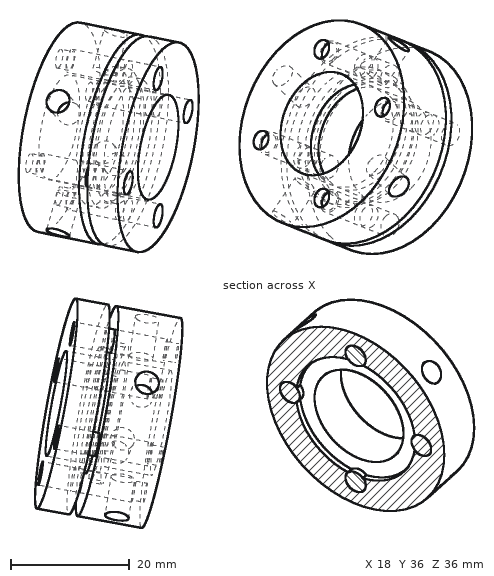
import cadquery as cq

OUTER_DIAMETER = 36.0
BORE_DIAMETER = 18.0
LENGTH = 18.0

THICK_FLANGE_LENGTH = 11.0
NECK_LENGTH = 1.48
NECK_DIAMETER = 21.45

GROOVE_START = 8.0
GROOVE_LENGTH = 2.0
GROOVE_DIAMETER = 23.98

PIN_COUNT = 4
PIN_DIAMETER = 4.0
PIN_CIRCLE_RADIUS = 13.25
PIN_START = 2.0
PIN_LENGTH = LENGTH - PIN_START
ACCESS_HOLE_DIAMETER = 3.25

RADIAL_HOLE_COUNT = PIN_COUNT
RADIAL_HOLE_DIAMETER = 4.0
RADIAL_HOLE_X = 5.0
RADIAL_HOLE_DEPTH = 7.0

FULL_TURN = 360.0
PIN_ANGLES = [i * FULL_TURN / PIN_COUNT for i in range(PIN_COUNT)]
RADIAL_HOLE_ANGLES = [(i + 0.5) * FULL_TURN / RADIAL_HOLE_COUNT for i in range(RADIAL_HOLE_COUNT)]


def axial_cylinder(diameter, start, length):
    """Cylinder on the X axis, from x = start."""
    return cq.Workplane("YZ").workplane(offset=start).circle(diameter / 2).extrude(length)


def axial_rod(diameter, start, length, angle):
    """Cylinder along X on the pin circle, at the given angle about the X axis."""
    rod = axial_cylinder(diameter, start, length).translate((0, 0, PIN_CIRCLE_RADIUS))
    return rod.rotate((0, 0, 0), (1, 0, 0), angle)


def make_pin(angle):
    """Straight pin, from the access hole to the +X face."""
    return axial_rod(PIN_DIAMETER, PIN_START, PIN_LENGTH, angle)


def neck_cutter():
    """Ring removed around the neck, leaving the slot between the flanges."""
    slot = axial_cylinder(OUTER_DIAMETER, THICK_FLANGE_LENGTH, NECK_LENGTH)
    neck = axial_cylinder(NECK_DIAMETER, THICK_FLANGE_LENGTH, NECK_LENGTH)
    return slot.cut(neck)


def radial_hole_cutter(angle):
    """Flat-bottomed radial hole, sunk from the outer surface."""
    bottom_radius = OUTER_DIAMETER / 2 - RADIAL_HOLE_DEPTH
    hole = (
        cq.Workplane("XY")
        .workplane(offset=bottom_radius)
        .center(RADIAL_HOLE_X, 0)
        .circle(RADIAL_HOLE_DIAMETER / 2)
        .extrude(RADIAL_HOLE_DEPTH)
    )
    return hole.rotate((0, 0, 0), (1, 0, 0), angle)


def make_housing():
    """Two flanges joined by the neck, with the bore, groove and all holes."""
    body = axial_cylinder(OUTER_DIAMETER, 0, LENGTH)
    body = body.cut(axial_cylinder(BORE_DIAMETER, 0, LENGTH))
    body = body.cut(neck_cutter())
    body = body.cut(axial_cylinder(GROOVE_DIAMETER, GROOVE_START, GROOVE_LENGTH))

    for angle in PIN_ANGLES:
        body = body.cut(make_pin(angle))
        body = body.cut(axial_rod(ACCESS_HOLE_DIAMETER, 0, PIN_START, angle))

    for angle in RADIAL_HOLE_ANGLES:
        body = body.cut(radial_hole_cutter(angle))
    return body.solids().val()


housing = make_housing()
pins = [make_pin(angle).val() for angle in PIN_ANGLES]

result = cq.Compound.makeCompound([housing, *pins])